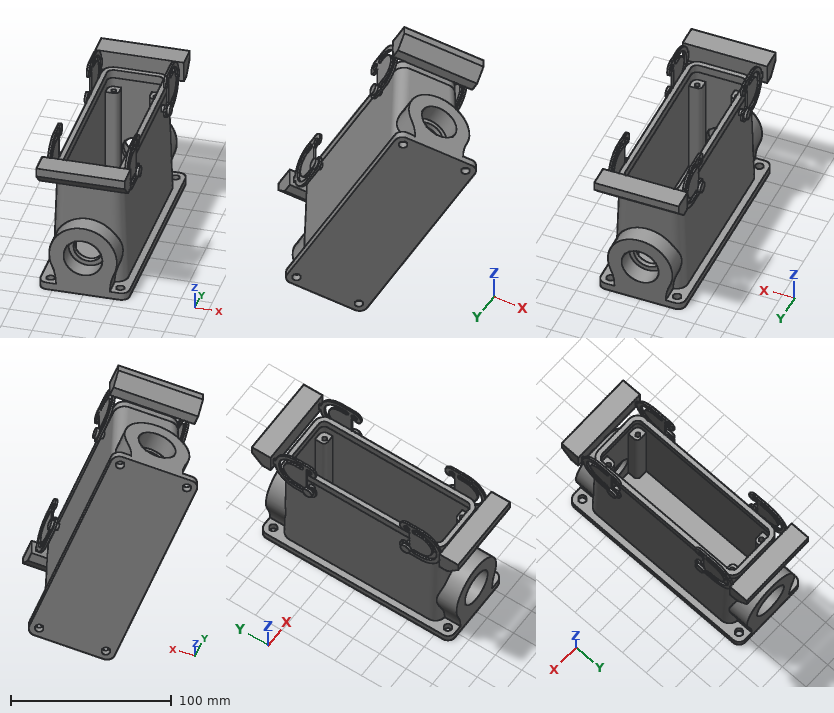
import cadquery as cq
import math

plate_width = 57.5
plate_length = 144.1
plate_thickness = 5.0
plate_corner_radius = 5.3
screw_hole_radius = 2.7
screw_hole_x = 22.5
screw_hole_y = 66.0

shell_length = 120.1
shell_bottom_width = 48.2
shell_top_width = 43.0
shell_top_z = 78.3
shell_corner_radius = 7.5
wall = 3.5
cavity_length = shell_length - 2 * wall
cavity_width = shell_top_width - 2 * wall
cavity_corner_radius = shell_corner_radius - wall

rim_top_z = 84.1

post_top_z = 71.9
post_inner_x = 9.8
post_inner_y = 49.0
post_corner_radius = 2.8
post_hole_x = 13.5
post_hole_y = 52.0
post_hole_radius = 1.5
post_hole_depth = 15.6

entry_z = 26.8
entry_radius = 21.8
entry_foot_half_width = 17.3
entry_bore_radius = 12.5
entry_hole_radius = 9.4

lever_top_z = 100.0
cheek_radius = 15.6
cheek_arc_y = 47.0
cheek_z = lever_top_z - cheek_radius
cheek_inner_x = 24.2
cheek_thickness = 1.4
hook_y = 37.0
hook_offset_z = 10.5
hook_hole_radius = 2.0
hook_radius = cheek_radius - hook_offset_z
hook_end_angle = math.radians(-35)
hook_tip_angle = math.radians(-67)
hook_web = 0.3
cheek_edge_y = hook_y + hook_hole_radius
cheek_edge_half_height = 6.7
slot_outer_radius = 12.6
slot_inner_radius = 9.2
slot_end_y = 43.0
neck_half_height = 2.2
neck_fillet = 0.5
grip_width = 57.1
grip_inner_y = 63.8
grip_outer_y = 78.0
grip_top_z = 92.2
grip_bottom_z = 78.3
grip_slope_y = 70.0
grip_slope_z = 86.5

pin_radius = 2.2
pin_head_radius = 3.5
pin_end_x = 27.5

SIDES = (-1, 1)
CORNERS = [(sx, sy) for sx in SIDES for sy in SIDES]


def rounded_block(width, length, radius, bottom_z, top_z):
    block = cq.Workplane("XY").workplane(offset=bottom_z).rect(width, length).extrude(top_z - bottom_z)
    return block.edges("|Z").fillet(radius)


def make_base_plate():
    plate = rounded_block(plate_width, plate_length, plate_corner_radius, 0, plate_thickness)
    places = [(sx * screw_hole_x, sy * screw_hole_y) for sx, sy in CORNERS]
    holes = cq.Workplane("XY").pushPoints(places).circle(screw_hole_radius).extrude(plate_thickness)
    return plate.cut(holes)


def make_tapered_shell():
    """Solid block with a trapezoid section across X and its four upright edges rounded."""
    section = (
        cq.Workplane("XZ", origin=(0, shell_length / 2, 0))
        .moveTo(-shell_bottom_width / 2, plate_thickness)
        .lineTo(shell_bottom_width / 2, plate_thickness)
        .lineTo(shell_top_width / 2, shell_top_z)
        .lineTo(-shell_top_width / 2, shell_top_z)
        .close()
    )
    return section.extrude(shell_length).edges("not(#Z or |Y)").fillet(shell_corner_radius)


def make_entries():
    """Round bosses at both ends, widening out of a foot on the base plate through a hollow arc."""
    rise = entry_z - plate_thickness
    foot = entry_foot_half_width
    hollow_radius = (foot**2 + rise**2 - entry_radius**2) / (2 * (entry_radius - foot))
    hollow_x = foot + hollow_radius
    angle = math.atan2(rise, hollow_x)
    tangent = (entry_radius * math.cos(angle), entry_z - entry_radius * math.sin(angle))
    middle = (
        hollow_x - hollow_radius * math.cos(angle / 2),
        plate_thickness + hollow_radius * math.sin(angle / 2),
    )
    outline = (
        cq.Workplane("XZ", origin=(0, plate_length / 2, 0))
        .moveTo(-foot, plate_thickness)
        .lineTo(foot, plate_thickness)
        .threePointArc(middle, tangent)
        .threePointArc((0, entry_z + entry_radius), (-tangent[0], tangent[1]))
        .threePointArc((-middle[0], middle[1]), (-foot, plate_thickness))
        .close()
    )
    return outline.extrude(plate_length)


def make_entry_holes():
    """Through hole along Y, opened out to the bore down to the end walls of the housing."""
    plane = cq.Workplane("XZ", origin=(0, 0, entry_z))
    holes = plane.circle(entry_hole_radius).extrude(plate_length / 2, both=True)
    bores = plane.circle(entry_bore_radius).extrude(plate_length / 2, both=True)
    core = plane.circle(entry_bore_radius).extrude(shell_length / 2, both=True)
    return holes.union(bores.cut(core))


def make_post(sx, sy):
    width = cavity_width / 2 - post_inner_x
    length = cavity_length / 2 - post_inner_y
    post = (
        cq.Workplane("XY")
        .box(width, length, post_top_z - plate_thickness, centered=False)
        .edges("|Z and <X and <Y")
        .fillet(post_corner_radius)
        .edges("|Z and >X and >Y")
        .fillet(cavity_corner_radius)
        .translate((post_inner_x, post_inner_y, plate_thickness))
    )
    hole = (
        cq.Workplane("XY", origin=(post_hole_x, post_hole_y, post_top_z))
        .circle(post_hole_radius)
        .extrude(-post_hole_depth)
    )
    post = post.cut(hole)
    if sx < 0:
        post = post.mirror("YZ")
    if sy < 0:
        post = post.mirror("XZ")
    return post


def hook_outline(side):
    """Outline points of the upper (side 1) or lower (side -1) hook, from the lever centre plane."""

    def around_hole(radius, angle):
        y = hook_y - radius * math.cos(angle)
        return (y, side * (hook_offset_z + radius * math.sin(angle)))

    mouth_radius = hook_hole_radius + hook_web
    tip_radius = (hook_radius + mouth_radius) / 2
    return {
        "top": around_hole(hook_radius, math.pi / 2),
        "outer": around_hole(hook_radius, (math.pi / 2 + hook_end_angle) / 2),
        "end": around_hole(hook_radius, hook_end_angle),
        "tip": around_hole(tip_radius, hook_tip_angle),
        "mouth": around_hole(mouth_radius, -math.pi / 2),
        "edge": (cheek_edge_y, side * cheek_edge_half_height),
    }


def make_cheek():
    """Flat cheek of the +Y lever on its +X side, with the neck that joins it to the grip."""
    upper = hook_outline(1)
    lower = hook_outline(-1)
    plane = cq.Workplane("YZ", origin=(cheek_inner_x, 0, cheek_z))
    cheek = (
        plane.moveTo(*upper["edge"])
        .lineTo(*upper["mouth"])
        .threePointArc(upper["tip"], upper["end"])
        .threePointArc(upper["outer"], upper["top"])
        .lineTo(cheek_arc_y, cheek_radius)
        .threePointArc((cheek_arc_y + cheek_radius, 0), (cheek_arc_y, -cheek_radius))
        .lineTo(*lower["top"])
        .threePointArc(lower["outer"], lower["end"])
        .threePointArc(lower["tip"], lower["mouth"])
        .lineTo(*lower["edge"])
        .close()
        .extrude(cheek_thickness)
    )
    neck = (
        plane.moveTo(cheek_arc_y + slot_outer_radius, -neck_half_height)
        .lineTo(grip_inner_y, -neck_half_height)
        .lineTo(grip_inner_y, neck_half_height)
        .lineTo(cheek_arc_y + slot_outer_radius, neck_half_height)
        .close()
        .extrude(cheek_thickness)
    )
    end_radius = (slot_outer_radius - slot_inner_radius) / 2
    end_offset = (slot_outer_radius + slot_inner_radius) / 2
    slot = (
        plane.moveTo(slot_end_y, slot_outer_radius)
        .lineTo(cheek_arc_y, slot_outer_radius)
        .threePointArc((cheek_arc_y + slot_outer_radius, 0), (cheek_arc_y, -slot_outer_radius))
        .lineTo(slot_end_y, -slot_outer_radius)
        .threePointArc((slot_end_y - end_radius, -end_offset), (slot_end_y, -slot_inner_radius))
        .lineTo(cheek_arc_y, -slot_inner_radius)
        .threePointArc((cheek_arc_y + slot_inner_radius, 0), (cheek_arc_y, slot_inner_radius))
        .lineTo(slot_end_y, slot_inner_radius)
        .threePointArc((slot_end_y - end_radius, end_offset), (slot_end_y, slot_outer_radius))
        .close()
        .extrude(cheek_thickness)
    )
    hole = plane.center(hook_y, hook_offset_z).circle(hook_hole_radius).extrude(cheek_thickness)
    cheek = cheek.union(neck)
    neck_root_y = cheek_arc_y + math.sqrt(cheek_radius**2 - neck_half_height**2)
    for side in SIDES:
        root = (cheek_inner_x + cheek_thickness / 2, neck_root_y, cheek_z + side * neck_half_height)
        cheek = cheek.edges(cq.selectors.NearestToPointSelector(root)).fillet(neck_fillet)
    return cheek.cut(slot).cut(hole)


def make_pin():
    """Pivot pin from the middle of the housing wall out through the lower hook to its head."""
    wall_middle_x = (shell_top_width - wall) / 2
    head_x = cheek_inner_x + cheek_thickness
    axis_z = cheek_z - hook_offset_z
    shank = (
        cq.Workplane("YZ", origin=(wall_middle_x, hook_y, axis_z))
        .circle(pin_radius)
        .extrude(head_x - wall_middle_x)
    )
    head = (
        cq.Workplane("YZ", origin=(head_x, hook_y, axis_z))
        .circle(pin_head_radius)
        .extrude(pin_end_x - head_x)
    )
    return shank.union(head)


def make_grip():
    return (
        cq.Workplane("YZ")
        .moveTo(grip_inner_y, grip_bottom_z)
        .lineTo(grip_slope_y, grip_bottom_z)
        .lineTo(grip_outer_y, grip_slope_z)
        .lineTo(grip_outer_y, grip_top_z)
        .lineTo(grip_inner_y, grip_top_z)
        .close()
        .extrude(grip_width / 2, both=True)
    )


def make_lever():
    """Lever at the +Y end with its two pivot pins, symmetric about the YZ plane."""
    half = make_cheek().union(make_pin())
    return make_grip().union(half).union(half.mirror("YZ"))


def make_housing():
    """Housing with its posts and cable entries; the levers are joined to it by their pivot pins."""
    body = make_base_plate().union(make_tapered_shell()).union(make_entries())
    cavity = rounded_block(cavity_width, cavity_length, cavity_corner_radius, plate_thickness, shell_top_z)
    body = body.cut(cavity).cut(make_entry_holes())
    for sx, sy in CORNERS:
        body = body.union(make_post(sx, sy))
    lever = make_lever()
    for turn in (0, 180):
        body = body.union(lever.rotate((0, 0, 0), (0, 0, 1), turn))
    return body


def make_rim():
    """Separate straight collar seated on top of the tapered housing, flush with the cavity."""
    outer = rounded_block(shell_top_width, shell_length, shell_corner_radius, shell_top_z, rim_top_z)
    inner = rounded_block(cavity_width, cavity_length, cavity_corner_radius, shell_top_z, rim_top_z)
    return outer.cut(inner)


housing = make_housing()
rim = make_rim()

result = cq.Compound.makeCompound([housing.val(), rim.val()])